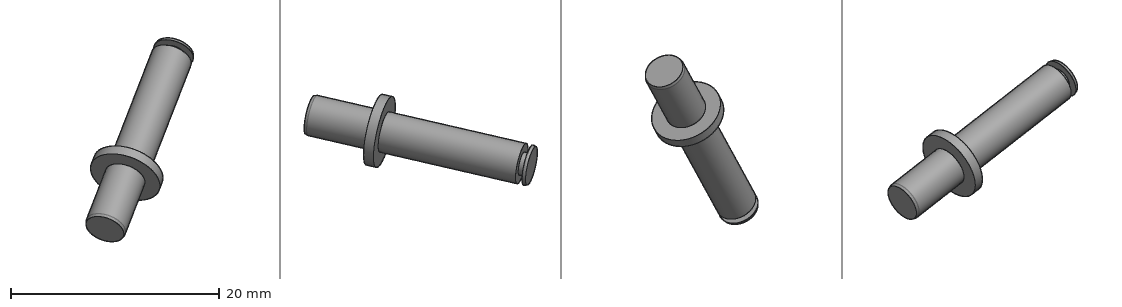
import cadquery as cq

total_length = 22.3
pin_diameter = 4.0
flange_diameter = 7.0
groove_diameter = 2.3

front_length = 6.5
flange_thickness = 1.0
groove_width = 0.65
head_thickness = 0.33
chamfer_length = 0.3
chamfer_depth = 0.1

front_y = -total_length / 2
back_y = total_length / 2


def cylinder(diameter, start_y, length):
    """Solid cylinder on the Y axis, running toward +Y from start_y."""
    plane = cq.Plane(origin=(0, start_y, 0), xDir=(1, 0, 0), normal=(0, 1, 0))
    return cq.Workplane(plane).circle(diameter / 2).extrude(length)


pin = cylinder(pin_diameter, front_y, total_length)
for end in ("<Y", ">Y"):
    pin = pin.faces(end).chamfer(chamfer_length, chamfer_depth)

groove_y = back_y - head_thickness - groove_width
groove = cylinder(pin_diameter, groove_y, groove_width)
groove = groove.cut(cylinder(groove_diameter, groove_y, groove_width))
pin = pin.cut(groove)

flange = cylinder(flange_diameter, front_y + front_length, flange_thickness)

result = pin.union(flange)